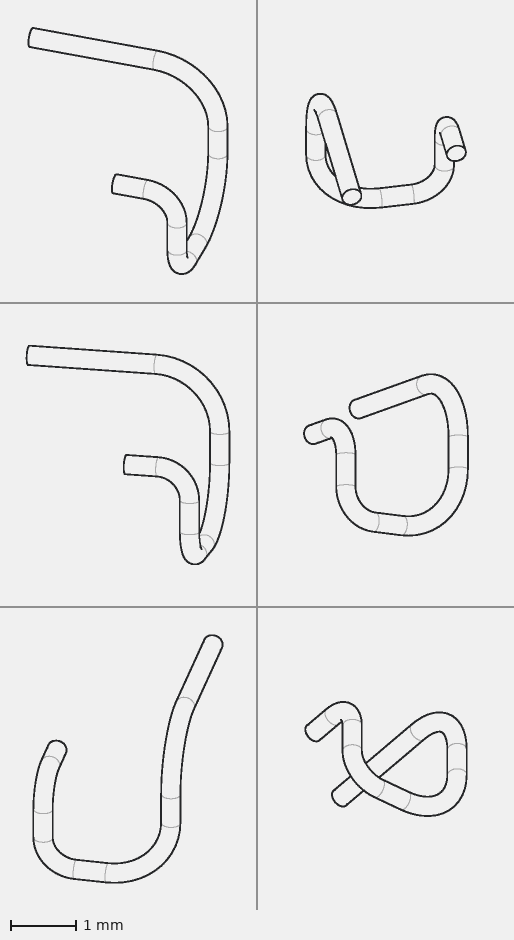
import cadquery as cq
import math

overall_length = 3.15
long_leg = 2.0

large_bend = long_leg / 2
short_leg = long_leg / 4
small_bend = short_leg
wire_radius = overall_length - long_leg - large_bend

FORWARD = cq.Vector(1, 0, 0)
DOWN = cq.Vector(0, 0, -1)
SIDEWAYS = cq.Vector(0, -1, 0)
UP = cq.Vector(0, 0, 1)
BACK = cq.Vector(-1, 0, 0)


def straight(start, direction, length):
    """Return a straight centreline edge and its end point."""
    end = start + direction * length
    return cq.Edge.makeLine(start, end), end


def bend(start, incoming, outgoing, radius):
    """Return a quarter-circle centreline edge turning between two directions, and its end point."""
    center = start + outgoing * radius
    middle = center + (incoming - outgoing) * (radius * math.sqrt(0.5))
    end = center + incoming * radius
    return cq.Edge.makeThreePointArc(start, middle, end), end


def wire_centreline(start):
    """Chain the legs and bends from the long free end to the short free end."""
    edges = []
    point = start
    direction = FORWARD
    turns = [
        (long_leg, large_bend, DOWN),
        (short_leg, large_bend, SIDEWAYS),
        (short_leg, small_bend, UP),
        (short_leg, small_bend, BACK),
    ]
    for leg_length, radius, next_direction in turns:
        leg, point = straight(point, direction, leg_length)
        corner, point = bend(point, direction, next_direction, radius)
        edges += [leg, corner]
        direction = next_direction
    last_leg, point = straight(point, direction, short_leg)
    edges.append(last_leg)
    return cq.Wire.assembleEdges(edges)


centreline = wire_centreline(cq.Vector(0, 0, 0))
result = cq.Workplane("YZ").circle(wire_radius).sweep(cq.Workplane(centreline))